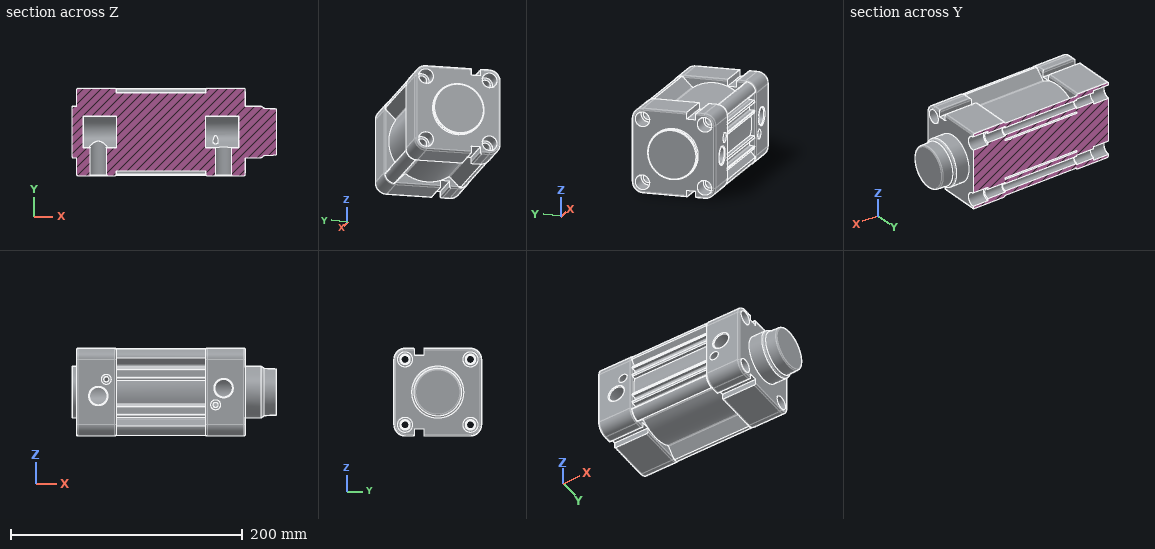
import cadquery as cq
import math


total_length = 177.0
spigot_length = 4.0
cap_length = 34.5
barrel_length = 77.0
front_face_x = spigot_length
barrel_start_x = front_face_x + cap_length
rear_face_x = barrel_start_x + barrel_length + cap_length
body_mid_x = (front_face_x + rear_face_x) / 2

cap_width = 76.0
cap_half = cap_width / 2
cap_corner_radius = 10.0
cap_edge_fillet = 1.5
tie_offset = 56.5 / 2
tie_head_radius = 6.5
tie_head_depth = 16.0
tie_sleeve_radius = 4.5
tie_rod_radius = 3.4

slot_near_y = -12.0
slot_width = 8.0
slot_depth = 6.0
slot_edge_radius = 1.5

port_x = front_face_x + 18.9
port_z = -3.4
port_radius = 7.6
port_chamfer = 0.8
chamber_radius = 13.5
chamber_wall = 6.0
screw_x = front_face_x + 25.8
screw_z = 11.0
screw_head_radius = 4.3
screw_head_depth = 10.0
screw_hole_radius = 2.2

barrel_half = 37.6
barrel_corner_radius = 9.4
tube_radius = 34.1
pocket_half_width = 29.3
pocket_root_fillet = 0.8

pick_reach = 0.1

groove_spacing = 32.0
rail_half = 5.8
rail_tip_y = -36.8
rail_root_y = -25.0
rail_root_fillet = 0.9
tip_bevel_drop = 0.5
mouth_chamfer = 0.5
groove_half = 3.4
groove_floor_y = -32.2
groove_floor_fillet = 0.5
rail_tip_half = groove_half + mouth_chamfer

spigot_radius = 22.5
spigot_chamfer = 0.8
neck_radius = 22.5
neck_cylinder_length = 13.3
neck_round_length = 1.1
neck_round_drop = 0.5
neck_shoulder_length = 1.6
nose_base_radius = 20.6
nose_tip_radius = 20.1
nose_edge_fillet = 1.0


def rod(x, length, radius, y=0.0, z=0.0):
    """Cylinder parallel to X starting at x."""
    return cq.Workplane("YZ", origin=(x, y, z)).circle(radius).extrude(length)


def side_hole(x, z, radius, depth):
    """Cylinder going in +Y from the -Y face of the caps."""
    return cq.Workplane("XZ", origin=(x, -cap_half, z)).circle(radius).extrude(-depth)


def slot_cutter():
    """Top slot whose outer edge is rounded over into the top face."""
    far_y = slot_near_y - slot_width
    round_end_y = far_y - slot_edge_radius
    arc_reach = slot_edge_radius * math.sqrt(0.5)
    arc_mid = (round_end_y + arc_reach, cap_half - slot_edge_radius + arc_reach)
    overshoot = 1.0
    return (
        cq.Workplane("YZ", origin=(front_face_x, 0, 0))
        .moveTo(slot_near_y, cap_half - slot_depth)
        .lineTo(slot_near_y, cap_half + overshoot)
        .lineTo(round_end_y, cap_half + overshoot)
        .lineTo(round_end_y, cap_half)
        .threePointArc(arc_mid, (far_y, cap_half - slot_edge_radius))
        .lineTo(far_y, cap_half - slot_depth)
        .close()
        .extrude(cap_length)
    )


def port_cutter():
    """Port with a chamfered mouth and the cushion screw beside it."""
    mouth_radius = port_radius + port_chamfer
    mouth = cq.Workplane(
        cq.Solid.makeCone(
            mouth_radius, port_radius, port_chamfer,
            cq.Vector(port_x, -cap_half, port_z), cq.Vector(0, 1, 0),
        )
    )
    return (
        side_hole(port_x, port_z, port_radius, cap_half)
        .union(mouth)
        .union(side_hole(screw_x, screw_z, screw_head_radius, screw_head_depth))
        .union(side_hole(screw_x, screw_z, screw_hole_radius, cap_half))
    )


def make_front_cap():
    cap = (
        cq.Workplane("YZ", origin=(front_face_x, 0, 0))
        .rect(cap_width, cap_width)
        .extrude(cap_length)
        .edges("|X").fillet(cap_corner_radius)
        .faces("<X or >X").edges().fillet(cap_edge_fillet)
    )
    top_slot = slot_cutter()
    cap = cap.cut(top_slot).cut(top_slot.mirror("XY"))
    for y in (-tie_offset, tie_offset):
        for z in (-tie_offset, tie_offset):
            cap = cap.cut(rod(front_face_x, tie_head_depth, tie_head_radius, y, z))
            cap = cap.cut(rod(front_face_x, cap_length, tie_sleeve_radius, y, z))
    chamber = rod(front_face_x + chamber_wall, cap_length - chamber_wall, chamber_radius)
    return cap.cut(chamber).cut(port_cutter())


def barrel_edge(y, z):
    """Selector for the lengthwise barrel edge passing through (y, z)."""
    point = cq.Vector(body_mid_x, y, z)
    reach = cq.Vector(pick_reach, pick_reach, pick_reach)
    return cq.selectors.BoxSelector((point - reach).toTuple(), (point + reach).toTuple())


def make_pocket():
    """V channel with 45 degree flanks along the top of the barrel."""
    return (
        cq.Workplane("YZ", origin=(barrel_start_x, 0, 0))
        .moveTo(-pocket_half_width, barrel_half)
        .lineTo(pocket_half_width, barrel_half)
        .lineTo(0, barrel_half - pocket_half_width)
        .close()
        .extrude(barrel_length)
    )


def sensor_groove(z):
    """Pair of rails with bevelled tips and an open groove between them."""
    return (
        cq.Workplane("YZ", origin=(barrel_start_x, 0, z))
        .polyline([
            (rail_root_y, -rail_half),
            (rail_tip_y + tip_bevel_drop, -rail_half),
            (rail_tip_y, -rail_tip_half),
            (rail_tip_y + mouth_chamfer, -groove_half),
            (groove_floor_y, -groove_half),
            (groove_floor_y, groove_half),
            (rail_tip_y + mouth_chamfer, groove_half),
            (rail_tip_y, rail_tip_half),
            (rail_tip_y + tip_bevel_drop, rail_half),
            (rail_root_y, rail_half),
        ])
        .close()
        .extrude(barrel_length)
        .edges(
            barrel_edge(groove_floor_y, z - groove_half)
            + barrel_edge(groove_floor_y, z + groove_half)
        )
        .fillet(groove_floor_fillet)
    )


def make_barrel():
    """Square bar opened by a pocket on each side down to the round tube."""
    barrel = (
        cq.Workplane("YZ", origin=(barrel_start_x, 0, 0))
        .rect(2 * barrel_half, 2 * barrel_half)
        .extrude(barrel_length)
        .edges("|X").fillet(barrel_corner_radius)
    )
    for angle in (0, 90, 180, 270):
        barrel = barrel.cut(make_pocket().rotate((0, 0, 0), (1, 0, 0), angle))
    barrel = barrel.union(rod(barrel_start_x, barrel_length, tube_radius))
    flank_rise = barrel_half - pocket_half_width
    root_y = (math.sqrt(2 * tube_radius**2 - flank_rise**2) - flank_rise) / 2
    root_z = root_y + flank_rise
    for side in (-1, 1):
        for end in (-1, 1):
            flat_root = barrel_edge(side * root_y, end * root_z)
            steep_root = barrel_edge(side * root_z, end * root_y)
            barrel = barrel.edges(flat_root + steep_root).fillet(pocket_root_fillet)
    for side in (-1, 1):
        groove_z = side * groove_spacing / 2
        rail_z = groove_z + side * rail_half
        rail_y = -(abs(rail_z) + flank_rise)
        barrel = barrel.union(sensor_groove(groove_z))
        barrel = barrel.edges(barrel_edge(rail_y, rail_z)).fillet(rail_root_fillet)
    return barrel


def make_spigot():
    return rod(0, spigot_length, spigot_radius).faces("<X").chamfer(spigot_chamfer)


def make_neck():
    """Turned neck: cylinder, rounded shoulder and slightly tapered nose."""
    round_x = rear_face_x + neck_cylinder_length
    shoulder_x = round_x + neck_round_length
    nose_x = shoulder_x + neck_shoulder_length
    return (
        cq.Workplane("XY")
        .moveTo(rear_face_x, 0)
        .lineTo(rear_face_x, neck_radius)
        .lineTo(round_x, neck_radius)
        .lineTo(shoulder_x, neck_radius - neck_round_drop)
        .lineTo(nose_x, nose_base_radius)
        .lineTo(total_length, nose_tip_radius)
        .lineTo(total_length, 0)
        .close()
        .revolve(360, (0, 0, 0), (1, 0, 0))
        .faces(">X").edges().fillet(nose_edge_fillet)
    )


def make_body():
    front_cap = make_front_cap()
    rear_cap = front_cap.rotate((body_mid_x, 0, 0), (body_mid_x, 1, 0), 180)
    body = make_barrel().union(front_cap).union(rear_cap)
    body = body.union(make_spigot()).union(make_neck())
    for y in (-tie_offset, tie_offset):
        for z in (-tie_offset, tie_offset):
            body = body.cut(rod(front_face_x, rear_face_x - front_face_x, tie_rod_radius, y, z))
    return body


result = make_body()